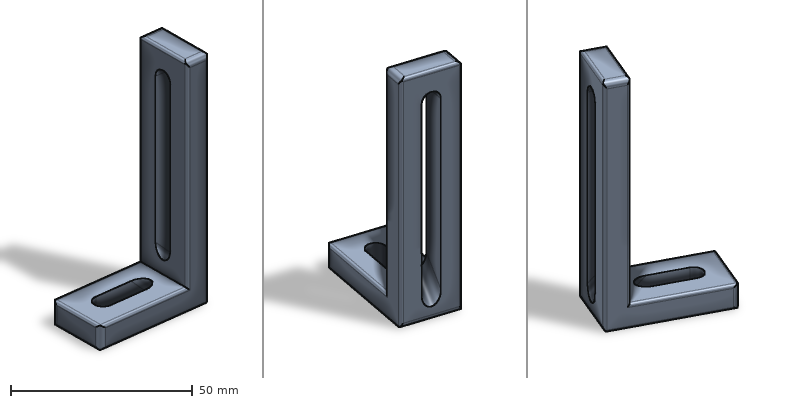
import cadquery as cq
import math

width = 20.0
depth = 40.0
height = 80.0
thickness = 8.0

edge_radius = 1.0
corner_radius = 2 * edge_radius

slot_width = 6.2
slot_tip_offset = 10.0
slot_near_centre = 17.0
slant_angle = 45.0


def sharp_bracket():
    """L-shaped bar with all edges sharp."""
    return (
        cq.Workplane("YZ")
        .polyline([
            (0, 0),
            (depth, 0),
            (depth, height),
            (depth - thickness, height),
            (depth - thickness, thickness),
            (0, thickness),
        ])
        .close()
        .extrude(width / 2, both=True)
    )


def rounded_bracket():
    """Round each edge group separately and intersect, so the rounds meet in mitres."""
    sharp = sharp_bracket()
    back = sharp.faces(">Y")
    bottom = sharp.faces("<Z")
    tip = sharp.faces("<Y")
    top = sharp.faces(">Z")
    inner_upright = sharp.faces("|Y").faces(">Y[-2]")
    inner_foot = sharp.faces("|Z").faces(">Z[-2]")

    inner_sides = inner_upright.edges("|Z").add(inner_foot.edges("|Y"))
    rounds = [
        (back.edges("|Z"), edge_radius),
        (bottom.edges("|Y"), edge_radius),
        (tip.edges("<Z"), edge_radius),
        (tip.edges(">Z"), edge_radius),
        (top.edges("<Y"), edge_radius),
        (top.edges(">Y"), edge_radius),
        (tip.edges("|Z"), corner_radius),
        (top.edges("|Y"), corner_radius),
        (back.edges("<Z"), corner_radius),
    ]
    body = sharp.newObject(inner_sides.vals()).fillet(edge_radius)
    for edges, radius in rounds:
        body = body.intersect(sharp.newObject(edges.vals()).fillet(radius))
    return body


def slot_cutter(leg_length, plane):
    """Slot cutter with local Y along the leg and local Z from outer to inner face."""
    radius = slot_width / 2
    far_centre = leg_length - slot_tip_offset
    near_outer = slot_near_centre - thickness * math.tan(math.radians(slant_angle))
    middle = (
        cq.Workplane("YZ")
        .polyline([
            (near_outer, 0),
            (far_centre, 0),
            (far_centre, thickness),
            (slot_near_centre, thickness),
        ])
        .close()
        .extrude(radius, both=True)
    )
    far_end = cq.Workplane("XY").center(0, far_centre).circle(radius).extrude(thickness)
    near_end = (
        cq.Workplane("XY")
        .circle(radius)
        .extrude(2 * thickness, both=True)
        .rotate((0, 0, 0), (1, 0, 0), -slant_angle)
        .translate((0, slot_near_centre, thickness))
    )
    cutter = middle.union(far_end).union(near_end)
    return cutter.val().moved(cq.Location(plane))


upright_plane = cq.Plane(origin=(0, depth, 0), xDir=(1, 0, 0), normal=(0, -1, 0))
foot_plane = cq.Plane(origin=(0, depth, 0), xDir=(-1, 0, 0), normal=(0, 0, 1))

result = (
    rounded_bracket()
    .cut(slot_cutter(height, upright_plane))
    .cut(slot_cutter(depth, foot_plane))
)